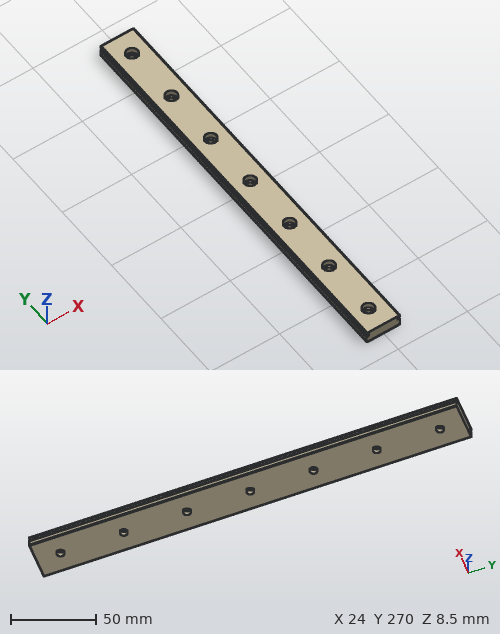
import cadquery as cq

length = 270.0
width = 24.0
height = 8.5

edge_chamfer = 0.4

groove_depth = 1.5
groove_opening = 2.7
groove_floor = 1.4
groove_center_z = 6.0

hole_count = 7
hole_pitch = 40.0
hole_diameter = 4.5
counterbore_diameter = 8.0
counterbore_depth = 4.3


def rail_body():
    """Extrude the rail cross-section, with chamfered corners and a groove in both sides."""
    half_width = width / 2
    floor_x = half_width - groove_depth
    groove_bottom_z = groove_center_z - groove_opening / 2
    groove_top_z = groove_center_z + groove_opening / 2
    right_side = [
        (half_width - edge_chamfer, 0),
        (half_width, edge_chamfer),
        (half_width, groove_bottom_z),
        (floor_x, groove_center_z - groove_floor / 2),
        (floor_x, groove_center_z + groove_floor / 2),
        (half_width, groove_top_z),
        (half_width, height - edge_chamfer),
        (half_width - edge_chamfer, height),
    ]
    left_side = [(-x, z) for x, z in reversed(right_side)]
    profile = cq.Workplane("XZ").polyline(right_side + left_side).close()
    return profile.extrude(length / 2, both=True)


def drill_mounting_holes(body):
    """Cut the row of counterbored through holes from the top face."""
    return (
        body.faces(">Z")
        .workplane(origin=(0, 0, height))
        .rarray(2.7, hole_pitch, 1, hole_count)
        .cboreHole(hole_diameter, counterbore_diameter, counterbore_depth)
    )


result = drill_mounting_holes(rail_body())